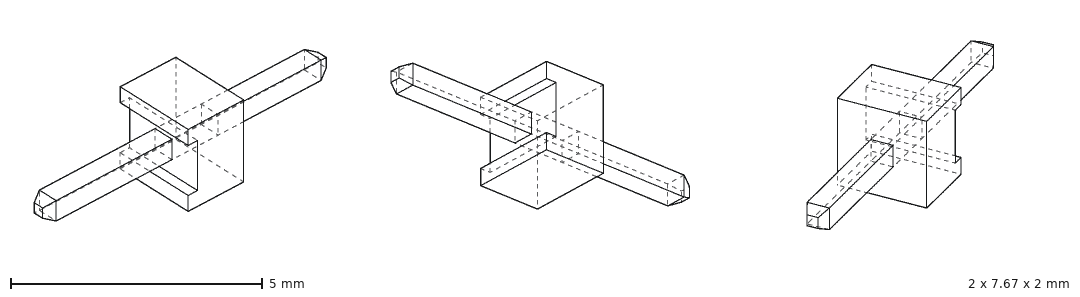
import cadquery as cq

pin_length = 7.67
pin_width = 0.5
tip_length = 0.25
tip_width = 0.25

housing_width = 2.0
housing_depth = 1.5
housing_front_y = -0.705
groove_depth = 0.25
lip_height = 0.39
groove_height = housing_width - 2 * lip_height


def make_pin():
    """Square bar with a tapered tip at each end."""
    shank_length = pin_length - 2 * tip_length
    pin = cq.Workplane("XY").box(pin_width, shank_length, pin_width)
    for end_face in ("<Y", ">Y"):
        tip = (
            pin.faces(end_face)
            .workplane(centerOption="CenterOfMass")
            .rect(pin_width, pin_width)
            .workplane(offset=tip_length)
            .rect(tip_width, tip_width)
            .loft(combine=False)
        )
        pin = pin.union(tip)
    return pin


def make_housing():
    """Block with a groove across its front face and a square hole for the pin."""
    housing_center_y = housing_front_y + housing_depth / 2
    block = (
        cq.Workplane("XY")
        .box(housing_width, housing_depth, housing_width)
        .translate((0, housing_center_y, 0))
    )
    groove = (
        cq.Workplane("XY")
        .box(housing_width, groove_depth, groove_height)
        .translate((0, housing_front_y + groove_depth / 2, 0))
    )
    pin_hole = cq.Workplane("XY").box(pin_width, pin_length, pin_width)
    return block.cut(groove).cut(pin_hole)


housing = make_housing()
pin = make_pin()

result = cq.Compound.makeCompound([housing.val(), pin.val()])